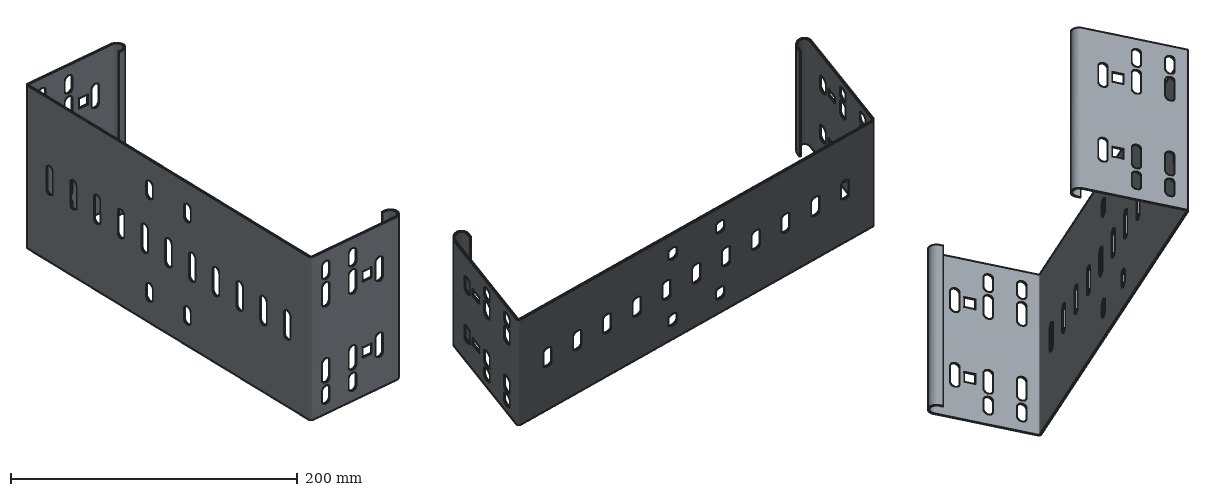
import cadquery as cq

length = 300.0
depth = 85.5
height = 135.0
sheet = 1.2

corner_radius = 2.0
hook_radius = 6.0
hook_drop = 9.0

slot_width = 7.2
short_slot_length = 15.0

row_slot_width = 7.0
row_count = 11
row_span = 250.0
row_slot_length = 24.0

web_short_spacing_x = 40.0
web_short_spacing_z = 85.0

flange_column_pitch = 25.0
first_column_y = 14.0
column_count = 3
long_slot_length = 20.0
long_slot_z = 31.5
short_slot_z = 51.5
square_size = 8.5
square_y = 52.8

half_length = length / 2


def hooked_channel():
    """Bent sheet: a web, two flanges, and a hook curling inward at the end of each flange."""
    inner_x = half_length - sheet
    hook_x = half_length - hook_radius
    hook_y = depth - hook_radius
    tip_x = half_length - 2 * hook_radius
    edge_y = depth - hook_drop
    half = (
        cq.Workplane("XY")
        .moveTo(0, 0)
        .lineTo(half_length, 0)
        .lineTo(half_length, hook_y)
        .threePointArc((hook_x, depth), (tip_x, hook_y))
        .lineTo(tip_x, edge_y)
        .lineTo(tip_x + sheet, edge_y)
        .lineTo(tip_x + sheet, hook_y)
        .threePointArc((hook_x, depth - sheet), (inner_x, hook_y))
        .lineTo(inner_x, sheet)
        .lineTo(0, sheet)
        .close()
        .extrude(height / 2, both=True)
    )
    outer_corner = cq.selectors.NearestToPointSelector((half_length, 0, 0))
    inner_corner = cq.selectors.NearestToPointSelector((inner_x, sheet, 0))
    half = half.edges("|Z").edges(outer_corner).fillet(corner_radius)
    half = half.edges("|Z").edges(inner_corner).fillet(corner_radius - sheet)
    return half.union(half.mirror("YZ")).clean()


def upright_slots(plane, points, end_to_end, width, reach):
    """Cutters for slots running along Z, reaching equally far on both sides of the plane."""
    return plane.pushPoints(points).slot2D(end_to_end, width, 90).extrude(reach, both=True)


def web_holes():
    plane = cq.Workplane("XZ")
    reach = 2 * sheet
    row_pitch = row_span / (row_count - 1)
    row = [(i * row_pitch - row_span / 2, 0) for i in range(row_count)]
    around_center = [
        (x_side * web_short_spacing_x / 2, z_side * web_short_spacing_z / 2)
        for x_side in (-1, 1)
        for z_side in (-1, 1)
    ]
    row_slots = upright_slots(plane, row, row_slot_length, row_slot_width, reach)
    short_slots = upright_slots(plane, around_center, short_slot_length, slot_width, reach)
    return row_slots.union(short_slots)


def flange_holes():
    """Holes that pass through both flanges, mirrored about mid-height."""
    plane = cq.Workplane("YZ")
    column_ys = [first_column_y + i * flange_column_pitch for i in range(column_count)]
    short_column_ys = column_ys[:-1]
    long_points = [(y, side * long_slot_z) for y in column_ys for side in (-1, 1)]
    short_points = [(y, side * short_slot_z) for y in short_column_ys for side in (-1, 1)]
    square_points = [(square_y, side * long_slot_z) for side in (-1, 1)]
    long_slots = upright_slots(plane, long_points, long_slot_length, slot_width, length)
    short_slots = upright_slots(plane, short_points, short_slot_length, slot_width, length)
    squares = plane.pushPoints(square_points).rect(square_size, square_size).extrude(length, both=True)
    return long_slots.union(short_slots).union(squares)


result = hooked_channel().cut(web_holes()).cut(flange_holes())